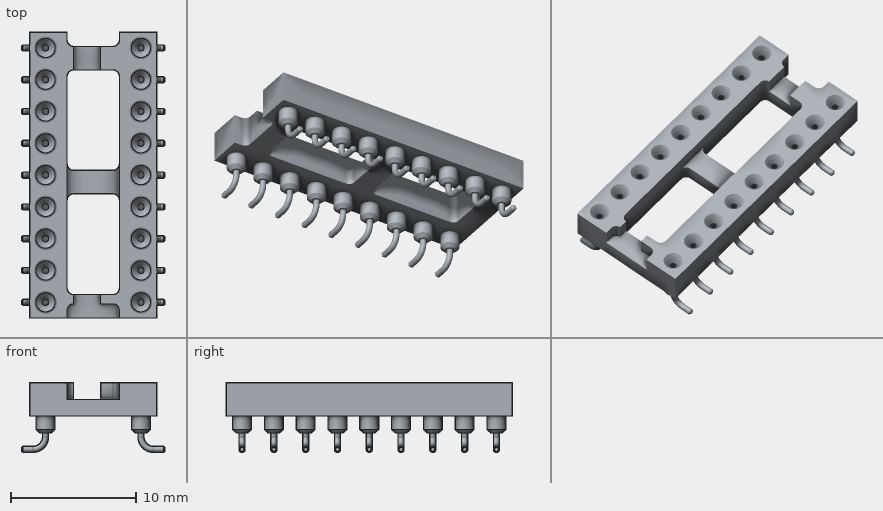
import cadquery as cq

contacts_per_row = 9
body_length = 22.85
pitch = body_length / contacts_per_row
row_spacing = 3 * pitch
body_width = 4 * pitch
body_height = 2.67
overall_width = 11.43
overall_height = 5.58

body_bottom = overall_height - body_height
body_top = overall_height
bar_top = body_bottom + body_height / 2
half_length = body_length / 2

rail_gap = 4.15
bar_width = 1.9
end_recess = 1.15
middle_bar_back = 0.4
corner_radius = 0.5
slot_left = -rail_gap / 2 + corner_radius
slot_right = 0.6

head_diameter = 1.71
head_depth = body_height / 2
funnel_diameter = 1.53
funnel_depth = 0.6
bore_diameter = 0.5
bore_depth = 0.69

collar_diameter = 1.53
collar_length = 1.05
taper_end_diameter = 0.91
taper_length = 0.3
lead_diameter = 0.5
lead_radius = lead_diameter / 2
bend_radius = 1.0
tip_length = 0.11
tip_setback = 0.1


def block(x_min, x_max, y_min, y_max, z_min, z_max):
    """Axis-aligned box given by its limits."""
    size = (x_max - x_min, y_max - y_min, z_max - z_min)
    return cq.Workplane("XY").box(*size, centered=False).translate((x_min, y_min, z_min))


def gap_block(y_min, y_max, z_min, rounded_edges):
    """Cutter as wide as the gap between the rails, with rounded upright edges."""
    cutter = block(-rail_gap / 2, rail_gap / 2, y_min, y_max, z_min, body_top)
    return cutter.edges(rounded_edges).fillet(corner_radius)


def make_body():
    """Rails and cross bars, before the contacts are added."""
    window_end = half_length - end_recess - bar_width
    front_bar_edge = -half_length + bar_width
    middle_bar_front = middle_bar_back - bar_width

    body = block(-body_width / 2, body_width / 2, -half_length, half_length, body_bottom, body_top)
    body = body.cut(gap_block(middle_bar_back, window_end, body_bottom, "|Z"))
    body = body.cut(gap_block(front_bar_edge, middle_bar_front, body_bottom, "|Z"))
    body = body.cut(
        block(
            -rail_gap / 2,
            rail_gap / 2,
            middle_bar_front - corner_radius,
            middle_bar_back + corner_radius,
            bar_top,
            body_top,
        )
    )
    body = body.cut(gap_block(half_length - end_recess, half_length, body_bottom, "|Z and <Y"))
    body = body.cut(gap_block(-half_length, -half_length + end_recess, bar_top, "|Z and >Y"))
    return body.cut(block(slot_left, slot_right, -half_length, half_length, bar_top, body_top))


def revolve_about_z(profile):
    """Solid of revolution from (radius, height) points."""
    return cq.Workplane("XZ").polyline(profile).close().revolve(360, (0, 0, 0), (0, 1, 0))


def make_head():
    """Contact head that fills its seat in the rail, with a cone and a blind bore in its top."""
    bore_top = body_top - funnel_depth
    bore_bottom = bore_top - bore_depth
    head_bottom = body_top - head_depth
    return revolve_about_z(
        [
            (0, bore_bottom),
            (bore_diameter / 2, bore_bottom),
            (bore_diameter / 2, bore_top),
            (funnel_diameter / 2, body_top),
            (head_diameter / 2, body_top),
            (head_diameter / 2, head_bottom),
            (0, head_bottom),
        ]
    )


def make_head_seat():
    """Cutter for the round seat of one contact head."""
    seat = cq.Workplane("XY", origin=(0, 0, body_top - head_depth))
    return seat.circle(head_diameter / 2).extrude(head_depth)


def make_tail():
    """Collar and lead of one right-hand contact, bent outwards to +X."""
    collar_bottom = body_bottom - collar_length
    taper_bottom = collar_bottom - taper_length
    collar = revolve_about_z(
        [
            (0, body_bottom),
            (collar_diameter / 2, body_bottom),
            (collar_diameter / 2, collar_bottom),
            (taper_end_diameter / 2, taper_bottom),
            (0, taper_bottom),
        ]
    )

    lead_reach = (overall_width - row_spacing) / 2
    bend_top = lead_radius + bend_radius
    path = (
        cq.Workplane("XZ")
        .moveTo(0, taper_bottom)
        .lineTo(0, bend_top)
        .radiusArc((bend_radius, lead_radius), -bend_radius)
        .lineTo(lead_reach, lead_radius)
    )
    lead = cq.Workplane("XY", origin=(0, 0, taper_bottom)).circle(lead_radius).sweep(path)
    lead = lead.faces(">X").edges().chamfer(tip_length, tip_setback)
    return collar.union(lead)


result = make_body()
head = make_head()
head_seat = make_head_seat()
right_tail = make_tail()
left_tail = right_tail.mirror("YZ")

for index in range(contacts_per_row):
    y = (index - (contacts_per_row - 1) / 2) * pitch
    for side, tail in ((-1, left_tail), (1, right_tail)):
        place = (side * row_spacing / 2, y, 0)
        result = result.cut(head_seat.translate(place), clean=False)
        result = result.union(head.translate(place), clean=False)
        result = result.union(tail.translate(place), clean=False)